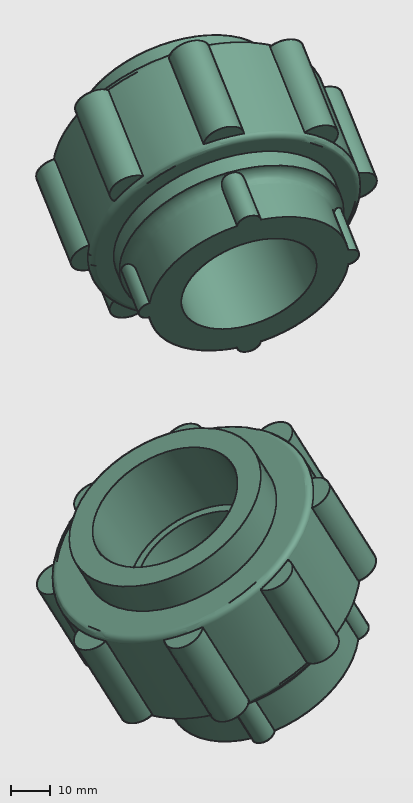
import cadquery as cq

total_length = 59.0
nut_start = 9.4
nut_end = 40.4
collar_end = 45.0
bore_step = 21.8

spigot_diameter = 52.8
nut_diameter = 71.8
collar_diameter = 59.2
tail_diameter = 52.8
socket_diameter = 40.0
bore_diameter = 35.7

nut_edge_radius = 1.5
collar_fillet_radius = 3.15

ridge_count = 8
ridge_diameter = 10.75
ridge_outer_diameter = 80.8

rib_count = 4
rib_diameter = 6.3
rib_outer_diameter = 58.15


def cylinder(start, end, diameter):
    """Solid cylinder along the X axis between two axial positions."""
    return cq.Workplane("YZ", origin=(start, 0, 0)).circle(diameter / 2).extrude(end - start)


def round_bars(start, end, count, bar_diameter, outer_diameter):
    """Ring of axial bars whose outermost lines lie on the outer diameter."""
    ring_radius = (outer_diameter - bar_diameter) / 2
    return (
        cq.Workplane("YZ", origin=(start, 0, 0))
        .polarArray(ring_radius, 0, 360, count)
        .circle(bar_diameter / 2)
        .extrude(end - start)
    )


nut = cylinder(nut_start, nut_end, nut_diameter).edges().fillet(nut_edge_radius)
ridges = round_bars(
    nut_start + nut_edge_radius,
    nut_end - nut_edge_radius,
    ridge_count,
    ridge_diameter,
    ridge_outer_diameter,
)

collar_radius = collar_diameter / 2
tail_radius = tail_diameter / 2
tail = (
    cq.Workplane("XY")
    .moveTo(nut_start, 0)
    .lineTo(nut_start, collar_radius)
    .lineTo(collar_end, collar_radius)
    .lineTo(collar_end, tail_radius + collar_fillet_radius)
    .radiusArc((collar_end + collar_fillet_radius, tail_radius), -collar_fillet_radius)
    .lineTo(total_length, tail_radius)
    .lineTo(total_length, 0)
    .close()
    .revolve(360, (0, 0, 0), (1, 0, 0))
)
ribs = round_bars(collar_end, total_length, rib_count, rib_diameter, rib_outer_diameter)

spigot = cylinder(0, nut_start, spigot_diameter)
body = spigot.union(nut).union(ridges).union(tail).union(ribs)

socket = cylinder(0, bore_step, socket_diameter)
bore = cylinder(0, total_length, bore_diameter)
result = body.cut(bore).cut(socket)